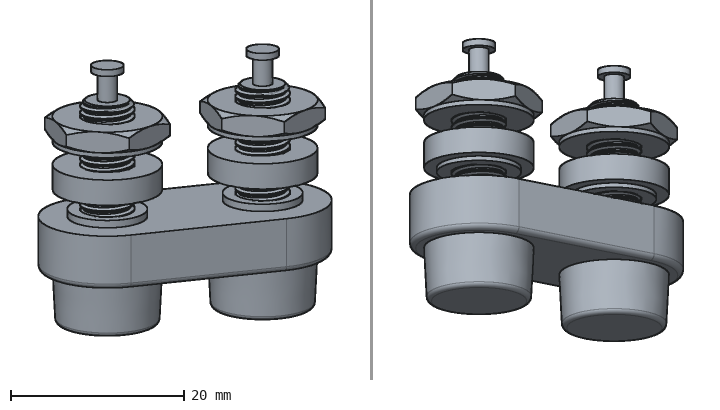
import cadquery as cq
import math


housing_length = 35.05
housing_width = 16.0
housing_bottom = 6.35
housing_top = 12.75
housing_edge_round = 0.65
collar_radius = 4.63
collar_height = 0.88
collar_top = housing_top + collar_height
post_spacing = housing_length - housing_width
post_positions = [(0, -post_spacing / 2), (0, post_spacing / 2)]

knob_top_radius = 6.35
knob_bottom_radius = 6.03
knob_edge_round = 0.55

thread_diameter = 6.35
thread_radius = thread_diameter / 2
thread_top = 26.8
thread_end_chamfer = 0.55
groove_turns = 18
groove_start = 13.18
groove_travel = 14.3
thread_pitch = groove_travel / groove_turns
crest_flat = thread_pitch / 8
root_flat = thread_pitch / 4
groove_width = thread_pitch - crest_flat
flank_slope = math.tan(math.radians(30))
groove_depth = (groove_width - root_flat) / 2 / flank_slope
groove_overshoot = 0.05
shank_seam_angle = 90

pin_radius = 1.15
pin_head_radius = 1.9
pin_head_height = 0.8
pin_top = 31.0

washer_bottom = 15.45
washer_shoulder = 16.0
washer_top = 19.03
washer_radius = 6.35
washer_boss_radius = 4.87

nut_bottom = 21.73
nut_flange_top = 22.3
nut_top = 24.8
nut_across_flats = 12.72
nut_across_corners = nut_across_flats / math.cos(math.radians(30))
nut_flange_radius = nut_across_flats / 2
nut_chamfer_angle = 30


def cylinder(radius, bottom, top):
    return cq.Workplane("XY").workplane(offset=bottom).circle(radius).extrude(top - bottom)


def make_housing():
    plate = (
        cq.Workplane("XY")
        .workplane(offset=housing_bottom)
        .slot2D(housing_length, housing_width, 90)
        .extrude(housing_top - housing_bottom)
        .faces("<Z")
        .edges()
        .fillet(housing_edge_round)
    )
    collar = cylinder(collar_radius, housing_top, collar_top)
    shank_hole = cylinder(thread_radius, housing_bottom, collar_top)
    for x, y in post_positions:
        plate = plate.union(collar.translate((x, y, 0)))
        plate = plate.cut(shank_hole.translate((x, y, 0)))
    return plate


def make_knob():
    return (
        cq.Workplane("XZ")
        .polyline([
            (0, 0),
            (knob_bottom_radius, 0),
            (knob_top_radius, housing_bottom),
            (0, housing_bottom),
        ])
        .close()
        .revolve(360, (0, 0), (0, 1))
        .faces("<Z")
        .edges()
        .fillet(knob_edge_round)
    )


def make_thread_groove():
    """Right-handed helical cutter with 30 degree flanks and a flat root."""
    root_radius = thread_radius - groove_depth
    outer_radius = thread_radius + groove_overshoot
    outer_half = groove_width / 2 + groove_overshoot * flank_slope
    helix = cq.Wire.makeHelix(thread_pitch, groove_travel, root_radius)
    return (
        cq.Workplane("XZ")
        .polyline([
            (root_radius, -root_flat / 2),
            (outer_radius, -outer_half),
            (outer_radius, outer_half),
            (root_radius, root_flat / 2),
        ])
        .close()
        .sweep(cq.Workplane(helix), isFrenet=True)
        .translate((0, 0, groove_start))
    )


def make_threaded_shank():
    shank = (
        cylinder(thread_radius, housing_bottom, thread_top)
        .faces(">Z")
        .edges()
        .chamfer(thread_end_chamfer)
        .rotate((0, 0, 0), (0, 0, 1), shank_seam_angle)
    )
    return shank.cut(make_thread_groove())


def make_post():
    pin = cylinder(pin_radius, thread_top, pin_top)
    pin_head = cylinder(pin_head_radius, pin_top - pin_head_height, pin_top)
    return make_threaded_shank().union(make_knob()).union(pin).union(pin_head)


def make_washer():
    boss = cylinder(washer_boss_radius, washer_bottom, washer_shoulder)
    disc = cylinder(washer_radius, washer_shoulder, washer_top)
    return boss.union(disc).cut(cylinder(thread_radius, washer_bottom, washer_top))


def make_nut():
    corner_radius = nut_across_corners / 2
    corner_drop = (corner_radius - nut_flange_radius) * math.tan(math.radians(nut_chamfer_angle))
    hexagon = (
        cq.Workplane("XY")
        .workplane(offset=nut_flange_top)
        .polygon(6, nut_across_corners)
        .extrude(nut_top - nut_flange_top)
    )
    chamfer_envelope = (
        cq.Workplane("XZ")
        .polyline([
            (0, nut_flange_top),
            (nut_flange_radius, nut_flange_top),
            (corner_radius, nut_flange_top + corner_drop),
            (corner_radius, nut_top - corner_drop),
            (nut_flange_radius, nut_top),
            (0, nut_top),
        ])
        .close()
        .revolve(360, (0, 0), (0, 1))
    )
    flange = cylinder(nut_flange_radius, nut_bottom, nut_flange_top)
    bore = cylinder(thread_radius, nut_bottom, nut_top)
    return hexagon.intersect(chamfer_envelope).union(flange).cut(bore)


def at_each_post(body):
    return [body.translate((x, y, 0)).solids().val() for x, y in post_positions]


housing = make_housing()
posts = at_each_post(make_post())
washers = at_each_post(make_washer())
nuts = at_each_post(make_nut())

result = cq.Compound.makeCompound([housing.solids().val(), *posts, *washers, *nuts])